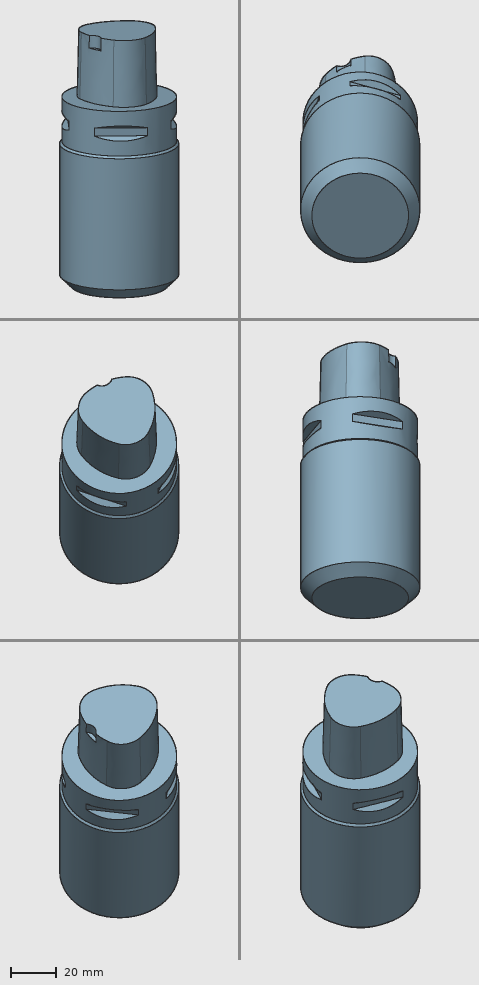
import cadquery as cq
import math

total_height = 115.0
flange_base = 65.0
shank_base = 85.1

body_radius = 52.0 / 2
flange_radius = 50.0 / 2
bottom_chamfer = 5.0

lobe_reach = 18.5
flank_reach = 16.2
lobe_radius = 11.8
taper_inset = 0.7
lobe_angles = (90, 210, 330)
half_pitch = 60

notch_radius = 4.5
notch_inner_y = -13.7
notch_depth = 5.6

groove_height = 75.1
groove_floor_distance = 22.2
groove_floor_width = 3.6
groove_side_angle = 30
groove_angles = (45, 135, 225, 315)
cut_margin = 1.2


def polar(distance, angle):
    return (
        distance * math.cos(math.radians(angle)),
        distance * math.sin(math.radians(angle)),
    )


def make_body():
    """Chamfered body with a conical step up to the flange."""
    step = body_radius - flange_radius
    half_section = [
        (0, 0),
        (body_radius - bottom_chamfer, 0),
        (body_radius, bottom_chamfer),
        (body_radius, flange_base - step),
        (flange_radius, flange_base),
        (flange_radius, shank_base),
        (0, shank_base),
    ]
    return cq.Workplane("XZ").polyline(half_section).close().revolve(360, (0, 0), (0, 1))


def shank_outline(inset, height):
    """Wire of three lobe arcs and three flank arcs, all tangent."""
    lobe_offset = lobe_reach - lobe_radius
    gap = flank_reach - lobe_radius
    flank_offset = (lobe_offset**2 - gap**2) / (2 * gap - lobe_offset)
    across = lobe_offset * math.sin(math.radians(half_pitch))
    along = flank_offset + lobe_offset * math.cos(math.radians(half_pitch))
    lobe_half_sweep = half_pitch - math.degrees(math.atan2(across, along))

    def lobe_end(lobe_angle, side):
        center_x, center_y = polar(lobe_offset, lobe_angle)
        dx, dy = polar(lobe_radius - inset, lobe_angle + side * lobe_half_sweep)
        return (center_x + dx, center_y + dy)

    outline = cq.Workplane("XY", origin=(0, 0, height)).moveTo(*lobe_end(lobe_angles[0], -1))
    for angle in lobe_angles:
        crest = polar(lobe_reach - inset, angle)
        flank_middle = polar(flank_reach - inset, angle + half_pitch)
        next_lobe = angle + 2 * half_pitch
        outline = outline.threePointArc(crest, lobe_end(angle, 1))
        outline = outline.threePointArc(flank_middle, lobe_end(next_lobe, -1))
    return outline.close().val()


def make_shank():
    """Tapered shank between its base and top outlines."""
    base = shank_outline(0, shank_base)
    top = shank_outline(taper_inset, total_height)
    return cq.Workplane(cq.Solid.makeLoft([base, top], True))


def make_notch():
    return (
        cq.Workplane("XY", origin=(0, notch_inner_y - notch_radius, total_height - notch_depth))
        .circle(notch_radius)
        .extrude(notch_depth + cut_margin)
    )


def make_groove(angle):
    """Trapezoidal bar that cuts one groove, widening outward."""
    outer_distance = flange_radius + cut_margin
    flare = (outer_distance - groove_floor_distance) * math.tan(math.radians(groove_side_angle))
    half_floor = groove_floor_width / 2
    section = [
        (groove_floor_distance, groove_height - half_floor),
        (outer_distance, groove_height - half_floor - flare),
        (outer_distance, groove_height + half_floor + flare),
        (groove_floor_distance, groove_height + half_floor),
    ]
    bar = cq.Workplane("XZ").polyline(section).close().extrude(flange_radius, both=True)
    return bar.rotate((0, 0, 0), (0, 0, 1), angle)


result = make_body().union(make_shank()).cut(make_notch())
for groove_angle in groove_angles:
    result = result.cut(make_groove(groove_angle))